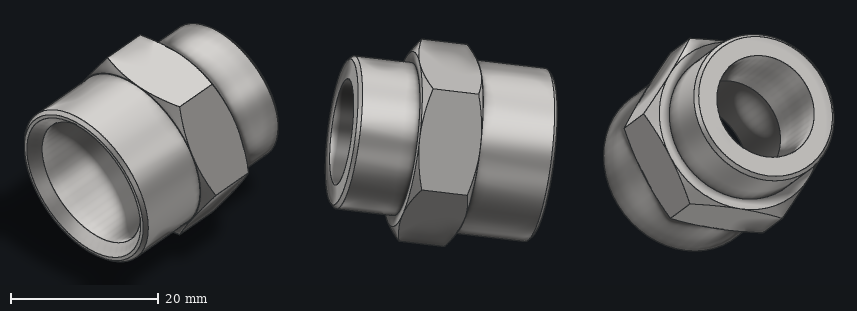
import cadquery as cq
import math

hex_corners = 27.7
hex_length = 8.5
front_diameter = 23.78
front_length = 10.47
rear_diameter = 21.0
rear_length = 8.5
end_chamfer = 0.5
hex_chamfer_angle = 30.0
bore_diameter = 14.58
mouth_diameter = 21.78
counterbore_diameter = 18.85
mouth_depth = 1.47
counterbore_depth = 15.25
floor_half_angle = 60.0

hex_flats = hex_corners * math.cos(math.radians(30))
total_length = front_length + hex_length + rear_length


def cylinder(diameter, start, length):
    """Cylinder along +Y, beginning at the given Y position."""
    plane = cq.Workplane("XZ", origin=(0, start, 0))
    return plane.circle(diameter / 2).extrude(-length)


def chamfered_hexagon():
    """Hexagon with corners on X and both ends turned to a cone."""
    end = front_length + hex_length
    corner_radius = hex_corners / 2
    flat_radius = hex_flats / 2
    corner_drop = (corner_radius - flat_radius) * math.tan(math.radians(hex_chamfer_angle))
    prism = (
        cq.Workplane("XZ", origin=(0, front_length, 0))
        .polygon(6, hex_corners)
        .extrude(-hex_length)
    )
    turned_envelope = (
        cq.Workplane("XY")
        .moveTo(0, front_length)
        .lineTo(flat_radius, front_length)
        .lineTo(corner_radius, front_length + corner_drop)
        .lineTo(corner_radius, end - corner_drop)
        .lineTo(flat_radius, end)
        .lineTo(0, end)
        .close()
        .revolve(360, (0, 0, 0), (0, 1, 0))
    )
    return prism.intersect(turned_envelope)


def stepped_bore():
    """Through bore with a front counterbore, a conical floor and a chamfered mouth."""
    mouth_radius = mouth_diameter / 2
    counterbore_radius = counterbore_diameter / 2
    bore_radius = bore_diameter / 2
    floor_depth = (counterbore_radius - bore_radius) / math.tan(math.radians(floor_half_angle))
    return (
        cq.Workplane("XY")
        .lineTo(mouth_radius, 0)
        .lineTo(counterbore_radius, mouth_depth)
        .lineTo(counterbore_radius, counterbore_depth)
        .lineTo(bore_radius, counterbore_depth + floor_depth)
        .lineTo(bore_radius, total_length)
        .lineTo(0, total_length)
        .close()
        .revolve(360, (0, 0, 0), (0, 1, 0))
    )


front_end = cylinder(front_diameter, 0, front_length).faces("<Y").chamfer(end_chamfer)
rear_end = (
    cylinder(rear_diameter, front_length + hex_length, rear_length)
    .faces(">Y")
    .chamfer(end_chamfer)
)
result = front_end.union(chamfered_hexagon()).union(rear_end).cut(stepped_bore())